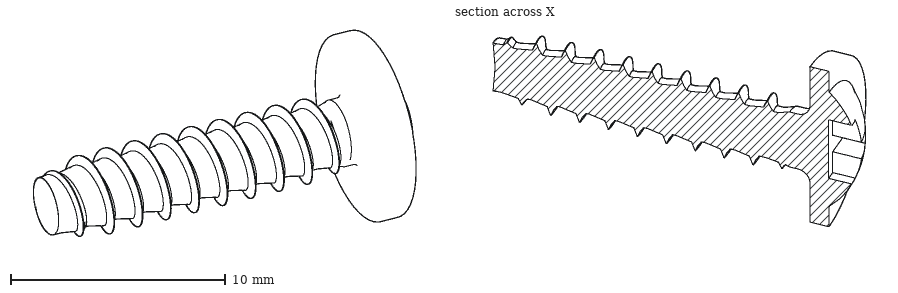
import cadquery as cq
import math


flange_radius = 4.5
flange_thickness = 1.0
flange_edge_round = 0.07
dome_base_radius = 3.3
head_height = 2.47

recess_slot_width = 0.95
recess_span = 3.35
recess_depth = 1.5

shank_length = 16.0
neck_radius = 1.6
neck_fillet = 0.6
neck_end = 1.0
taper_end = 1.62
core_radius = 1.40
tip_radius = 1.38
tip_hollow_depth = 0.1

crest_radius = 1.98
crest_width = 0.04
pitch = 1.46
thread_turns = 10.5
run_in_turns = 1.25
run_out_turns = 1.5
run_in_height = 0.45
run_out_height = 0.06
thread_start = shank_length - thread_turns * pitch
root_overlap = 0.04
base_radius = core_radius - root_overlap
points_per_turn = 16

head_flank_foot = 0.34
head_flank_break = (0.16, 1.63)
tip_flank_foot = (-0.19, 1.54)
root_slope_end = -1.08
ridge_section = [
    (head_flank_foot, base_radius),
    head_flank_break,
    (crest_width / 2, crest_radius),
    (-crest_width / 2, crest_radius),
    tip_flank_foot,
    (root_slope_end, base_radius),
]


def make_body():
    """Revolve the head, neck and core about the Y axis."""
    dome_rise = head_height - flange_thickness
    dome_radius = (dome_base_radius**2 + dome_rise**2) / (2 * dome_rise)
    dome_half_angle = math.asin(dome_base_radius / dome_radius) / 2
    dome_mid_radius = dome_radius * math.sin(dome_half_angle)
    dome_mid_height = head_height - dome_radius * (1 - math.cos(dome_half_angle))

    round_outer = flange_radius - flange_edge_round
    fillet_outer = neck_radius + neck_fillet
    fillet_mid = neck_fillet * (1 - math.sqrt(0.5))

    profile = (
        cq.Workplane("ZY")
        .moveTo(0, head_height)
        .threePointArc((dome_mid_radius, dome_mid_height), (dome_base_radius, flange_thickness))
        .lineTo(round_outer, flange_thickness)
        .tangentArcPoint((flange_radius, flange_thickness - flange_edge_round), relative=False)
        .lineTo(flange_radius, flange_edge_round)
        .tangentArcPoint((round_outer, 0), relative=False)
        .lineTo(fillet_outer, 0)
        .threePointArc((neck_radius + fillet_mid, -fillet_mid), (neck_radius, -neck_fillet))
        .lineTo(neck_radius, -neck_end)
        .lineTo(core_radius, -taper_end)
        .lineTo(tip_radius, -shank_length)
        .lineTo(0, tip_hollow_depth - shank_length)
        .close()
    )
    return profile.revolve(360, (0, 0), (0, 1))


def ridge_height(turn):
    """Share of the full ridge height at a number of turns from the thread start."""
    run_out_start = thread_turns - run_out_turns
    if turn < run_in_turns:
        return run_in_height + (1 - run_in_height) * turn / run_in_turns
    if turn > run_out_start:
        return 1 - (1 - run_out_height) * (turn - run_out_start) / run_out_turns
    return 1.0


def ridge_point(section_point, turn):
    """Point of the right-handed helix that a section corner follows, starting at +Z."""
    offset, full_radius = section_point
    radius = base_radius + (full_radius - base_radius) * ridge_height(turn)
    angle = 2 * math.pi * turn
    height = offset - thread_start - pitch * turn
    return cq.Vector(-radius * math.sin(angle), height, radius * math.cos(angle))


def ridge_edge(section_point, first_turn, last_turn):
    """Helical edge followed by one section corner."""
    steps = round((last_turn - first_turn) * points_per_turn)
    turns = [first_turn + (last_turn - first_turn) * i / steps for i in range(steps + 1)]
    return cq.Edge.makeSpline([ridge_point(section_point, turn) for turn in turns])


def ridge_cap(turn):
    """Flat face that closes the ridge at one end."""
    corners = [ridge_point(point, turn) for point in ridge_section]
    return cq.Face.makeFromWires(cq.Wire.makePolygon(corners, close=True))


def make_thread():
    """Ridge with a run-in, a full-height stretch and a run-out, trimmed to the shank."""
    stretch_ends = [0, run_in_turns, thread_turns - run_out_turns, thread_turns]
    faces = [ridge_cap(0), ridge_cap(thread_turns)]
    for first_turn, last_turn in zip(stretch_ends, stretch_ends[1:]):
        edges = [ridge_edge(point, first_turn, last_turn) for point in ridge_section]
        for edge, next_edge in zip(edges, edges[1:] + edges[:1]):
            faces.append(cq.Face.makeRuledSurface(edge, next_edge))
    ridge = cq.Solid.makeSolid(cq.Shell.makeShell(faces))
    shank_zone = (
        cq.Workplane("XZ", origin=(0, -neck_end, 0))
        .circle(flange_radius)
        .extrude(shank_length - neck_end)
    )
    return cq.Workplane(ridge).intersect(shank_zone)


def make_recess():
    """Two crossed slots sunk into the dome."""
    floor = head_height - recess_depth
    floor_plane = cq.Workplane("XZ", origin=(0, floor, 0))
    x_slot = floor_plane.rect(recess_span, recess_slot_width).extrude(-recess_depth)
    z_slot = floor_plane.rect(recess_slot_width, recess_span).extrude(-recess_depth)
    return x_slot.union(z_slot)


screw = make_body().cut(make_recess()).union(make_thread())
result = cq.Workplane(screw.solids().val())